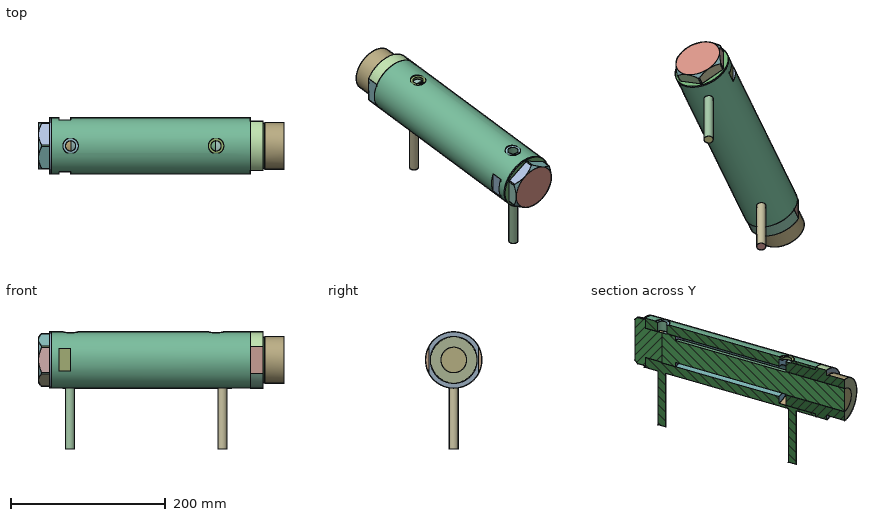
import cadquery as cq
import math

body_radius = 36.5
overall_length = 316.87

hex_across_flats = 60.0
hex_corner_radius = 34.15
hex_face_radius = 29.9
hex_chamfer_length = 4.2
hex_length = 14.5
flange_length = 2.0
plug_end = 42.0

housing_start = hex_length + flange_length
housing_end = 273.5
bore_radius = 22.0
recess_radius = 32.0
recess_start = 218.0

pocket_across_flats = 67.0
pocket_start = housing_start + 10.0
pocket_end = pocket_start + 15.0

port_centers = (41.5, 229.2)
port_radius = 6.6
spotface_radius = 10.0
spotface_height = 35.25

leg_centers = (40.7, 237.5)
leg_radius = 6.0
leg_length = 80.0
leg_root = -35.0

gland_start = 228.2
neck_across_flats = 64.0
neck_end = 289.8
relief_radius = 29.3
relief_length = 1.6
relief_fillet = 0.8
thread_radius = 30.3
thread_chamfer = thread_radius - relief_radius

piston_head_length = 20.0
rod_radius = 16.5


def shaft(start, end, radius):
    """Solid cylinder along the X axis."""
    return cq.Workplane("YZ", origin=(start, 0, 0)).circle(radius).extrude(end - start)


def upright_cylinder(x, bottom, height, radius):
    """Solid cylinder parallel to Z, centred over the X axis."""
    return cq.Workplane("XY", origin=(x, 0, bottom)).circle(radius).extrude(height)


def cut_side_flats(body, start, end, across_flats):
    """Cut parallel flats facing -Y and +Y between two X positions."""
    depth = body_radius
    center_x = (start + end) / 2
    for side in (-1, 1):
        center_y = side * (across_flats + depth) / 2
        block = cq.Workplane("XY").box(end - start, depth, 2 * body_radius)
        body = body.cut(block.translate((center_x, center_y, 0)))
    return body


def make_plug():
    corner_to_corner = hex_across_flats / math.cos(math.pi / 6)
    hexagon = cq.Workplane("YZ").polygon(6, corner_to_corner).extrude(hex_length)
    hexagon = hexagon.rotate((0, 0, 0), (1, 0, 0), 90)
    envelope = (
        cq.Workplane("XY")
        .moveTo(0, 0)
        .lineTo(0, hex_face_radius)
        .lineTo(hex_chamfer_length, hex_corner_radius)
        .lineTo(hex_length, hex_corner_radius)
        .lineTo(hex_length, 0)
        .close()
        .revolve(360, (0, 0, 0), (1, 0, 0))
    )
    flange = shaft(hex_length, housing_start, body_radius)
    spigot = shaft(housing_start, plug_end, bore_radius)
    return hexagon.intersect(envelope).union(flange).union(spigot)


def make_housing():
    housing = shaft(housing_start, housing_end, body_radius)
    for x in leg_centers:
        housing = housing.union(upright_cylinder(x, leg_root - leg_length, leg_length, leg_radius))
    housing = housing.cut(shaft(housing_start, housing_end, bore_radius))
    housing = housing.cut(shaft(recess_start, housing_end, recess_radius))
    housing = cut_side_flats(housing, pocket_start, pocket_end, pocket_across_flats)
    for x in port_centers:
        housing = housing.cut(upright_cylinder(x, 0, body_radius, port_radius))
        housing = housing.cut(upright_cylinder(x, spotface_height, body_radius, spotface_radius))
    return housing


def make_gland():
    relief_end = neck_end + relief_length
    fillet_center_x = neck_end + relief_fillet
    fillet_center_radius = relief_radius + relief_fillet
    fillet_reach = relief_fillet * math.cos(math.pi / 4)
    gland = (
        cq.Workplane("XY")
        .moveTo(gland_start, rod_radius)
        .lineTo(gland_start, recess_radius)
        .lineTo(housing_end, recess_radius)
        .lineTo(housing_end, body_radius)
        .lineTo(neck_end, body_radius)
        .lineTo(neck_end, fillet_center_radius)
        .threePointArc(
            (fillet_center_x - fillet_reach, fillet_center_radius - fillet_reach),
            (fillet_center_x, relief_radius),
        )
        .lineTo(relief_end, relief_radius)
        .lineTo(relief_end + thread_chamfer, thread_radius)
        .lineTo(overall_length, thread_radius)
        .lineTo(overall_length, rod_radius)
        .close()
        .revolve(360, (0, 0, 0), (1, 0, 0))
    )
    return cut_side_flats(gland, housing_end, neck_end, neck_across_flats)


def make_piston():
    head_end = plug_end + piston_head_length
    head = shaft(plug_end, head_end, bore_radius)
    rod = shaft(head_end, overall_length, rod_radius)
    return head.union(rod)


plug = make_plug()
housing = make_housing()
gland = make_gland()
piston = make_piston()
bodies = [plug, housing, gland, piston]
result = cq.Compound.makeCompound([body.solids().val() for body in bodies])